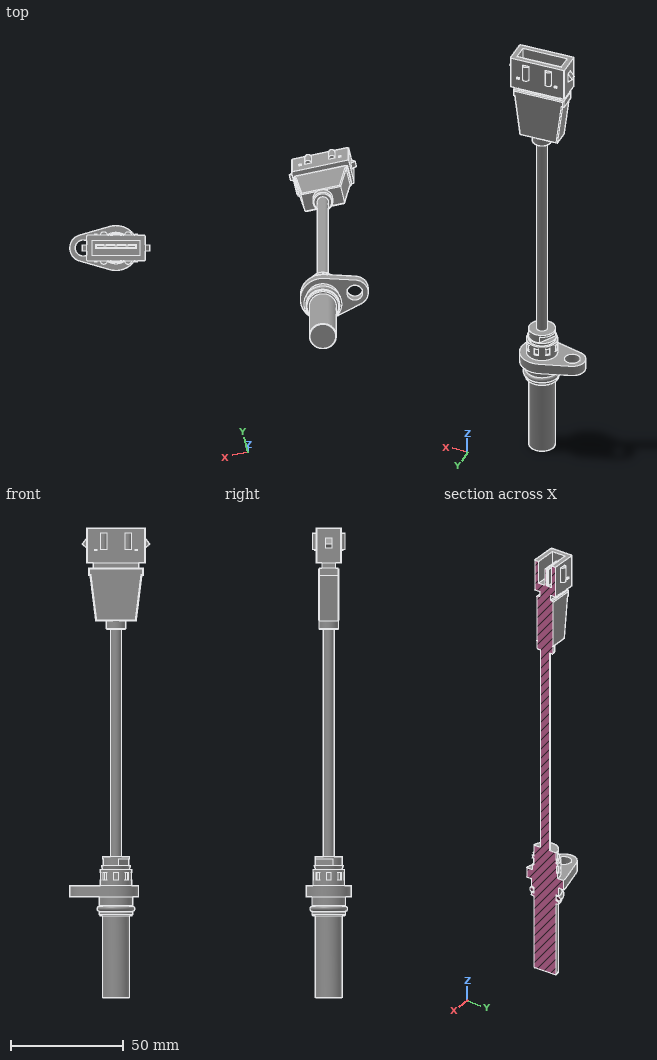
import cadquery as cq
import math


OVERLAP = 0.2

probe_radius = 6.0
tip_chamfer = 0.3
collar_radius = 7.5
collar_bottom_z = 36.4
collar_chamfer = 0.5
flange_bottom_z = 44.8
flange_thickness = 5.0
flange_top_z = flange_bottom_z + flange_thickness
window_stage_radius = 7.0
window_stage_top_z = 57.0
rim_radius = 6.5
neck_bottom_z = 58.6
neck_radius = 6.0
probe_top_z = 62.6

ring_section_radius = 1.2
ring_mid_radius = 7.2
ring_z = 39.5
groove_radius = ring_mid_radius - ring_section_radius
groove_height = 2.8

flange_radius = 10.0
ear_radius = 6.0
ear_offset = 14.5
mounting_hole_diameter = 7.0

window_count = 8
window_width = 2.1
window_height = 3.2
window_depth = 0.8
window_mid_z = 53.9

flat_distance = 4.0
flat_angle = 150.0
neck_cap_thickness = 1.0

cable_radius = 2.5
sleeve_radius = 4.4
sleeve_bottom_z = 163.1
sleeve_chamfer = 0.5
grip_bottom_z = 166.9
grip_top_z = 190.4
grip_band_height = 3.4
grip_top_width = 24.3
grip_taper_top_width = 23.0
grip_bottom_width = 18.0
grip_depth = 9.0
grip_edge_chamfer = 0.5

plug_top_z = 208.1
plug_height = 15.4
plug_bottom_z = plug_top_z - plug_height
plug_width = 26.0
plug_depth = 11.4
plug_neck_width = 20.2
plug_neck_depth = 6.0
plug_corner_chamfer = 0.4
cavity_width = 21.2
cavity_depth = 6.8
cavity_height = 11.0
tongue_width = 18.0
tongue_thickness = 1.6
tongue_mid_y = 0.7
tongue_drop = 2.5
tongue_chamfer = 0.4
contact_pitch = 4.9
contact_slot_width = 0.8
contact_slot_depth = 0.5

guide_rib_radius = 1.5
guide_rib_offset = 5.4
guide_rib_bottom_z = 198.6
guide_rib_height = 7.3
stud_offset = 9.0
stud_width = 1.2
stud_height = 0.6
stud_projection = 0.5
stud_mid_z = 198.4
latch_width = 2.7
latch_projection = 1.99
latch_bottom_z = 199.1
latch_tip_z = 201.0
latch_top_z = 203.9


def cylinder(radius, bottom_z, top_z):
    return cq.Workplane("XY").workplane(offset=bottom_z).circle(radius).extrude(top_z - bottom_z)


def block(width, depth, bottom_z, top_z):
    return cq.Workplane("XY").workplane(offset=bottom_z).rect(width, depth).extrude(top_z - bottom_z)


def make_probe():
    probe = cylinder(probe_radius, 0, collar_bottom_z + OVERLAP).faces("<Z").chamfer(tip_chamfer)
    collar = cylinder(collar_radius, collar_bottom_z, flange_bottom_z + OVERLAP)
    probe = probe.union(collar.faces("<Z").chamfer(collar_chamfer))
    probe = probe.union(make_flange())
    probe = probe.union(make_window_stage())
    probe = probe.union(make_flared_rim())
    probe = probe.union(make_neck())
    return probe.cut(make_ring_groove())


def make_ring_groove():
    bottom_z = ring_z - groove_height / 2
    top_z = ring_z + groove_height / 2
    return cylinder(2 * collar_radius, bottom_z, top_z).cut(cylinder(groove_radius, bottom_z, top_z))


def make_flange():
    normal_x = -(flange_radius - ear_radius) / ear_offset
    normal_y = math.sqrt(1 - normal_x**2)
    body_x = flange_radius * normal_x
    body_y = flange_radius * normal_y
    ear_x = -ear_offset + ear_radius * normal_x
    ear_y = ear_radius * normal_y
    flange = (
        cq.Workplane("XY")
        .workplane(offset=flange_bottom_z)
        .moveTo(body_x, -body_y)
        .threePointArc((flange_radius, 0), (body_x, body_y))
        .lineTo(ear_x, ear_y)
        .threePointArc((-ear_offset - ear_radius, 0), (ear_x, -ear_y))
        .close()
        .extrude(flange_thickness)
    )
    hole = cylinder(mounting_hole_diameter / 2, flange_bottom_z, flange_top_z)
    return flange.cut(hole.translate((-ear_offset, 0, 0)))


def make_window_stage():
    stage = cylinder(window_stage_radius, flange_top_z - OVERLAP, window_stage_top_z)
    window = cq.Workplane("XY").box(2 * window_depth, window_width, window_height)
    window = window.translate((window_stage_radius, 0, window_mid_z))
    for index in range(window_count):
        angle = index * 360 / window_count
        stage = stage.cut(window.rotate((0, 0, 0), (0, 0, 1), angle))
    return stage


def make_flared_rim():
    return (
        cq.Workplane("XZ")
        .moveTo(0, window_stage_top_z - OVERLAP)
        .lineTo(neck_radius, window_stage_top_z - OVERLAP)
        .lineTo(neck_radius, window_stage_top_z)
        .lineTo(rim_radius, neck_bottom_z)
        .lineTo(0, neck_bottom_z)
        .close()
        .revolve(360, (0, 0), (0, 1))
    )


def make_neck():
    neck = cylinder(neck_radius, neck_bottom_z - OVERLAP, probe_top_z)
    cap_bottom_z = probe_top_z - neck_cap_thickness
    around_flats = block(4 * neck_radius, 4 * neck_radius, neck_bottom_z, cap_bottom_z)
    around_flats = around_flats.cut(block(2 * flat_distance, 4 * neck_radius, neck_bottom_z, cap_bottom_z))
    return neck.cut(around_flats.rotate((0, 0, 0), (0, 0, 1), flat_angle))


def make_cable():
    cable = cylinder(cable_radius, probe_top_z - OVERLAP, sleeve_bottom_z + OVERLAP)
    sleeve = cylinder(sleeve_radius, sleeve_bottom_z, grip_bottom_z + OVERLAP)
    return cable.union(sleeve.faces("<Z").chamfer(sleeve_chamfer))


def make_grip():
    band_bottom_z = grip_top_z - grip_band_height
    grip = (
        cq.Workplane("XZ")
        .moveTo(-grip_bottom_width / 2, grip_bottom_z)
        .lineTo(grip_bottom_width / 2, grip_bottom_z)
        .lineTo(grip_taper_top_width / 2, band_bottom_z)
        .lineTo(grip_top_width / 2, band_bottom_z)
        .lineTo(grip_top_width / 2, grip_top_z)
        .lineTo(-grip_top_width / 2, grip_top_z)
        .lineTo(-grip_top_width / 2, band_bottom_z)
        .lineTo(-grip_taper_top_width / 2, band_bottom_z)
        .close()
        .extrude(grip_depth / 2, both=True)
    )
    return grip.faces("<Y or >Y").edges().chamfer(grip_edge_chamfer)


def make_latch():
    root_x = plug_width / 2 - OVERLAP
    return (
        cq.Workplane("XZ")
        .moveTo(root_x, latch_bottom_z)
        .lineTo(plug_width / 2 + latch_projection, latch_tip_z)
        .lineTo(root_x, latch_top_z)
        .close()
        .extrude(latch_width / 2, both=True)
    )


def make_tongue():
    bottom_z = plug_top_z - cavity_height - OVERLAP
    top_z = plug_top_z - tongue_drop
    tongue = block(tongue_width, tongue_thickness, bottom_z, top_z).faces(">Z").chamfer(tongue_chamfer)
    for index in (-1, 0, 1):
        slot = block(contact_slot_width, 2 * contact_slot_depth, bottom_z, top_z)
        tongue = tongue.cut(slot.translate((index * contact_pitch, tongue_thickness / 2, 0)))
    return tongue.translate((0, tongue_mid_y, 0))


def make_plug():
    plug = block(plug_width, plug_depth, plug_bottom_z, plug_top_z).edges("|Z").chamfer(plug_corner_chamfer)
    plug = plug.cut(block(cavity_width, cavity_depth, plug_top_z - cavity_height, plug_top_z))
    plug = plug.union(make_tongue())
    plug = plug.union(
        block(plug_neck_width, plug_neck_depth, grip_top_z - OVERLAP, plug_bottom_z + OVERLAP)
    )
    latch = make_latch()
    plug = plug.union(latch).union(latch.mirror("YZ"))

    rib = cylinder(guide_rib_radius, guide_rib_bottom_z, guide_rib_bottom_z + guide_rib_height)
    stud = cq.Workplane("XY").box(stud_width, 2 * stud_projection, stud_height)
    for side_x in (-1, 1):
        for side_y in (-1, 1):
            face_y = side_y * plug_depth / 2
            plug = plug.union(rib.translate((side_x * guide_rib_offset, face_y, 0)))
            plug = plug.union(stud.translate((side_x * stud_offset, face_y, stud_mid_z)))
    return plug


def make_sensor():
    return make_probe().union(make_cable()).union(make_grip()).union(make_plug())


def make_sealing_ring():
    ring = cq.Solid.makeTorus(ring_mid_radius, ring_section_radius)
    return cq.Workplane(ring).translate((0, 0, ring_z))


sensor = make_sensor()
sealing_ring = make_sealing_ring()

result = cq.Compound.makeCompound([sensor.val(), sealing_ring.val()])